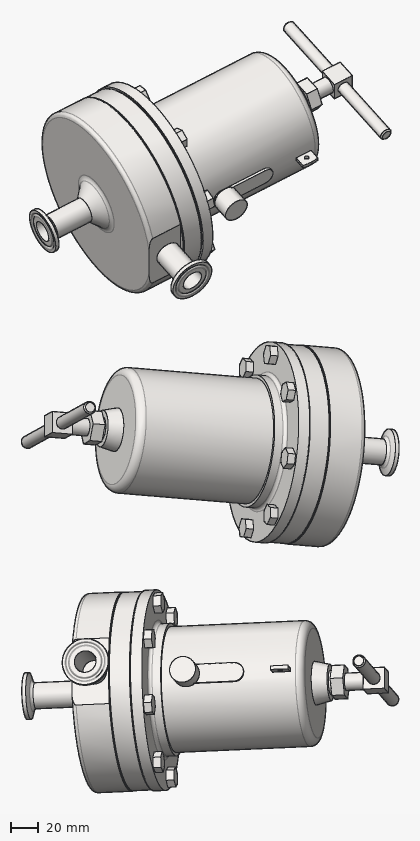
import cadquery as cq
import math


TUBE_RADIUS = 9.5
BORE_RADIUS = 8.0
FERRULE_RADIUS = 17.0
FERRULE_RIM = 3.0
FERRULE_NECK_RADIUS = 11.7
FERRULE_NECK_DEPTH = 4.8
FERRULE_DEPTH = 7.0
GROOVE_MEAN_RADIUS = 13.3
GROOVE_SECTION_RADIUS = 1.0
GROOVE_LIP_FILLET = 0.5

CONE_START = 36.8
BODY_BOTTOM = 47.2
MID_BOTTOM = 75.0
FLANGE_BOTTOM = 91.5
FLANGE_TOP = 100.0
RING_TOP = 109.0
BARREL_TOP = 214.2
BOSS_TOP = 225.5
NUT_BOTTOM = 227.5
NUT_TOP = 237.0
OVERALL_LENGTH = 266.8

CONE_BASE_RADIUS = 20.8
CONE_FILLET = 6.0
BODY_RADIUS = 72.5
BODY_FILLET = 3.2
BODY_FLAT_X = 68.3
MID_RADIUS = 72.3
FLANGE_RADIUS = 73.0
JOINT_GROOVE = 0.8
RING_RADIUS = 48.3
RING_FILLET = 2.7
BARREL_RADIUS = 46.0
BARREL_FILLET = 6.0

BOLT_COUNT = 8
BOLT_CIRCLE_RADIUS = 64.3
BOLT_FIRST_ANGLE = 180 / BOLT_COUNT
BOLT_HEAD_ACROSS_FLATS = 13.0
BOLT_HEAD_HEIGHT = 6.0

BOSS_BASE_RADIUS = 16.0
BOSS_TOP_RADIUS = 13.3
WASHER_RADIUS = 8.8
NUT_ACROSS_FLATS = 22.5
STEM_RADIUS = 6.5
HANDLE_BLOCK = 15.7
BAR_LENGTH = 127.5
BAR_RADIUS = 9.3 / 2
BAR_CHAMFER = 1.0

OUTLET_Y = 63.5
OUTLET_FACE_X = 100.3

PORT_RADIUS = 9.5
PORT_Y = 128.0
PORT_END_X = 62.2
PLATE_BOTTOM = 119.0
PLATE_TOP = 170.2
PLATE_WIDTH = 14.0
PLATE_FACE_X = 47.5
LUG_BOTTOM = 191.5
LUG_TOP = 204.5
LUG_CORNER_X = 54.7
LUG_END_X = 55.5
LUG_THICKNESS = 2.7
LUG_HOLE_X = 50.0
LUG_HOLE_RADIUS = 1.5

SELECT_MARGIN = 0.3


def disc(radius, bottom, top):
    """Cylinder on the main axis between two Y stations."""
    return cq.Workplane("XZ", origin=(0, bottom, 0)).circle(radius).extrude(bottom - top)


def hexagon(across_flats, bottom, top, turn=0.0):
    """Hexagonal prism on the main axis; a corner points along +X when turn is 0."""
    across_corners = across_flats / math.cos(math.pi / 6)
    prism = cq.Workplane("XZ", origin=(0, bottom, 0)).polygon(6, across_corners).extrude(bottom - top)
    return prism.rotate((0, 0, 0), (0, 1, 0), -turn)


def x_cylinder(radius, y, start, end):
    """Cylinder parallel to X at height y."""
    return cq.Workplane("YZ", origin=(start, y, 0)).circle(radius).extrude(end - start)


def revolve_about_y(profile):
    return profile.close().revolve(360, (0, 0, 0), (0, 1, 0))


def edges_near_axis(radius, station):
    """Selector for circular edges at one Y station, no larger than the given radius."""
    reach = radius + SELECT_MARGIN
    return cq.selectors.BoxSelector(
        (-reach, station - SELECT_MARGIN, -reach),
        (reach, station + SELECT_MARGIN, reach),
        boundingbox=True,
    )


def ferrule_tube(length):
    """Solid ferrule and tube: face at Y = 0, tube running along +Y."""
    tube = revolve_about_y(
        cq.Workplane("XY")
        .lineTo(FERRULE_RADIUS, 0)
        .lineTo(FERRULE_RADIUS, FERRULE_RIM)
        .lineTo(FERRULE_NECK_RADIUS, FERRULE_NECK_DEPTH)
        .tangentArcPoint((TUBE_RADIUS, FERRULE_DEPTH), relative=False)
        .lineTo(TUBE_RADIUS, length)
        .lineTo(0, length)
    )
    groove = revolve_about_y(
        cq.Workplane("XY")
        .moveTo(GROOVE_MEAN_RADIUS - GROOVE_SECTION_RADIUS, 0)
        .threePointArc(
            (GROOVE_MEAN_RADIUS, GROOVE_SECTION_RADIUS),
            (GROOVE_MEAN_RADIUS + GROOVE_SECTION_RADIUS, 0),
        )
    )
    lips = edges_near_axis(GROOVE_MEAN_RADIUS + GROOVE_SECTION_RADIUS, 0)
    return tube.cut(groove).edges(lips).fillet(GROOVE_LIP_FILLET)


def make_body():
    """Lower body with its flat and inlet cone, middle section and bolted flange."""
    body = disc(BODY_RADIUS, BODY_BOTTOM, MID_BOTTOM).faces("<Y").edges().fillet(BODY_FILLET)
    flat_cut = (
        cq.Workplane("XY")
        .box(BODY_RADIUS, 2 * BODY_RADIUS, 2 * BODY_RADIUS, centered=(False, True, True))
        .translate((BODY_FLAT_X, OUTLET_Y, 0))
    )
    cone = revolve_about_y(
        cq.Workplane("XY")
        .moveTo(0, CONE_START)
        .lineTo(TUBE_RADIUS, CONE_START)
        .lineTo(CONE_BASE_RADIUS, BODY_BOTTOM)
        .lineTo(0, BODY_BOTTOM)
    )
    body = body.cut(flat_cut).union(cone)
    body = body.edges(edges_near_axis(CONE_BASE_RADIUS, BODY_BOTTOM)).fillet(CONE_FILLET)

    groove_floor = MID_RADIUS - JOINT_GROOVE
    middle = (
        disc(groove_floor, MID_BOTTOM, FLANGE_BOTTOM)
        .union(disc(MID_RADIUS, MID_BOTTOM + JOINT_GROOVE, FLANGE_BOTTOM - JOINT_GROOVE))
    )
    return body.union(middle).union(disc(FLANGE_RADIUS, FLANGE_BOTTOM, FLANGE_TOP))


def make_barrel():
    """Spring barrel with its foot ring, which flares into the flange."""
    barrel = disc(BARREL_RADIUS, FLANGE_TOP, BARREL_TOP).faces(">Y").edges().fillet(BARREL_FILLET)
    flare_top = FLANGE_TOP + RING_FILLET
    flare_middle = RING_FILLET * (1 - math.sqrt(0.5))
    ring = revolve_about_y(
        cq.Workplane("XY")
        .moveTo(0, FLANGE_TOP)
        .lineTo(RING_RADIUS + RING_FILLET, FLANGE_TOP)
        .threePointArc((RING_RADIUS + flare_middle, FLANGE_TOP + flare_middle), (RING_RADIUS, flare_top))
        .lineTo(RING_RADIUS, RING_TOP)
        .lineTo(0, RING_TOP)
    )
    return barrel.union(ring)


def make_bolt_heads():
    """Ring of hexagonal heads standing on the flange."""
    heads = cq.Workplane("XY")
    head = hexagon(BOLT_HEAD_ACROSS_FLATS, FLANGE_TOP, FLANGE_TOP + BOLT_HEAD_HEIGHT, BOLT_FIRST_ANGLE)
    head = head.translate((BOLT_CIRCLE_RADIUS, 0, 0))
    for index in range(BOLT_COUNT):
        angle = BOLT_FIRST_ANGLE + index * 360 / BOLT_COUNT
        heads = heads.union(head.rotate((0, 0, 0), (0, 1, 0), -angle))
    return heads


def make_adjuster():
    """Tapered boss, washer, lock nut, stem and T-handle."""
    boss = revolve_about_y(
        cq.Workplane("XY")
        .moveTo(0, BARREL_TOP)
        .lineTo(BOSS_BASE_RADIUS, BARREL_TOP)
        .lineTo(BOSS_TOP_RADIUS, BOSS_TOP)
        .lineTo(0, BOSS_TOP)
    )
    block_bottom = OVERALL_LENGTH - HANDLE_BLOCK
    block_centre = OVERALL_LENGTH - HANDLE_BLOCK / 2
    block = cq.Workplane("XY").box(HANDLE_BLOCK, HANDLE_BLOCK, HANDLE_BLOCK).translate((0, block_centre, 0))
    bar = x_cylinder(BAR_RADIUS, block_centre, -BAR_LENGTH / 2, BAR_LENGTH / 2)
    bar = bar.faces("<X or >X").edges().chamfer(BAR_CHAMFER)
    return (
        boss.union(disc(WASHER_RADIUS, BOSS_TOP, NUT_BOTTOM))
        .union(hexagon(NUT_ACROSS_FLATS, NUT_BOTTOM, NUT_TOP))
        .union(disc(STEM_RADIUS, NUT_TOP, block_bottom))
        .union(block)
        .union(bar)
    )


def make_side_plate():
    """Flat-faced plate with full-round ends, set into the side of the barrel."""
    return (
        cq.Workplane("YZ", origin=(0, (PLATE_BOTTOM + PLATE_TOP) / 2, 0))
        .slot2D(PLATE_TOP - PLATE_BOTTOM, PLATE_WIDTH)
        .extrude(PLATE_FACE_X)
    )


def make_lug():
    """Flat lug with a bowed end and a seal-wire hole."""
    lug_middle = (LUG_BOTTOM + LUG_TOP) / 2
    return (
        cq.Workplane("XY", origin=(0, 0, -LUG_THICKNESS / 2))
        .moveTo(0, LUG_BOTTOM)
        .lineTo(LUG_CORNER_X, LUG_BOTTOM)
        .threePointArc((LUG_END_X, lug_middle), (LUG_CORNER_X, LUG_TOP))
        .lineTo(0, LUG_TOP)
        .close()
        .moveTo(LUG_HOLE_X, lug_middle)
        .circle(LUG_HOLE_RADIUS)
        .extrude(LUG_THICKNESS)
    )


inlet = ferrule_tube(CONE_START)
outlet = (
    ferrule_tube(OUTLET_FACE_X - BODY_FLAT_X)
    .rotate((0, 0, 0), (0, 0, 1), 90)
    .translate((OUTLET_FACE_X, OUTLET_Y, 0))
)
port = x_cylinder(PORT_RADIUS, PORT_Y, PLATE_FACE_X, PORT_END_X)
inlet_bore = disc(BORE_RADIUS, 0, BODY_BOTTOM)
outlet_bore = x_cylinder(BORE_RADIUS, OUTLET_Y, BODY_FLAT_X, OUTLET_FACE_X)

result = make_body()
for piece in (
    make_barrel(), make_bolt_heads(), make_adjuster(), make_side_plate(), make_lug(), port, inlet, outlet,
):
    result = result.union(piece)
result = result.cut(inlet_bore).cut(outlet_bore)